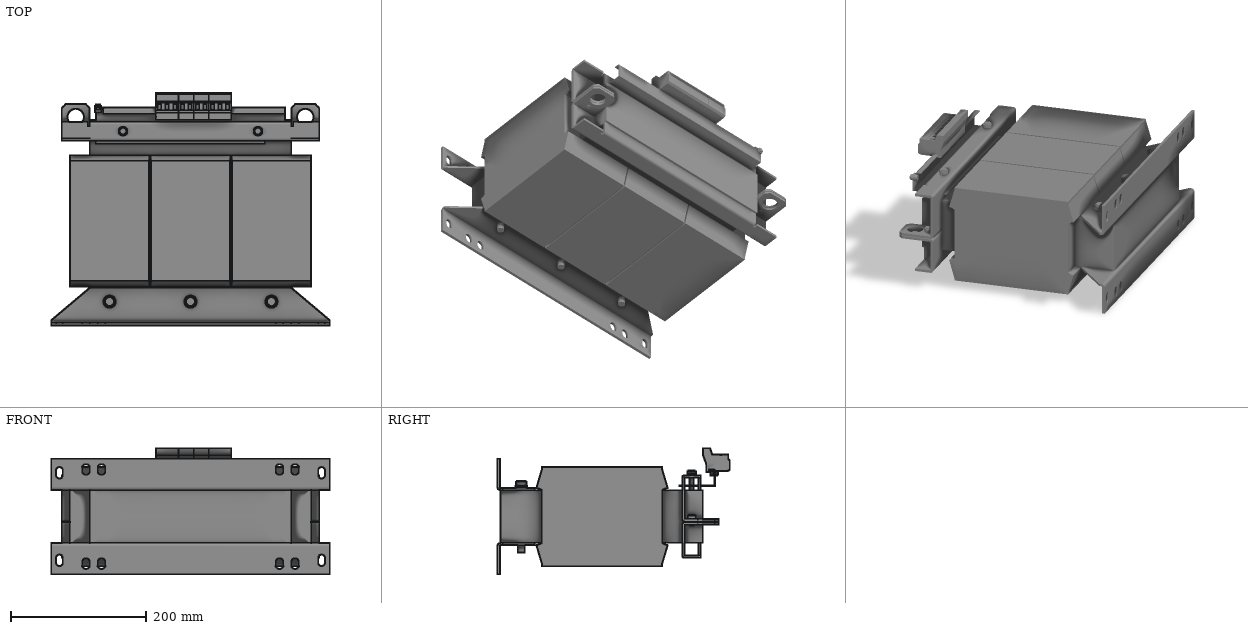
import cadquery as cq


CORE_WIDTH = 298.0
CORE_BOTTOM = 4.8
CORE_TOP = 304.4
CORE_DEPTH = 78.0
YOKE = 60.0
LEG = 59.0
LEG_PITCH = 119.7
CORE_FACE = CORE_DEPTH / 2

COIL_WIDTH = 117.2
COIL_BOTTOM = 66.2
COIL_TOP = 244.0
COIL_DEPTH = 147.0
FLARE = 8.3
FLARE_TIP_Z = 42.2
FLARE_KINK = 4.6
FLARE_KINK_Z = 41.2
COIL_RIM = 3.2

BRACKET_LENGTH = 412.0
BRACKET_HALF_SPAN = 85.5
BRACKET_PLATE = 3.4
BRACKET_FLANGE = 4.3
BRACKET_BEND = 5.0
BRACKET_PLATE_REACH = 56.0
BRACKET_TAPER_START = 8.0
END_SLOT_X = 193.8
END_SLOT_Z = 64.7
END_SLOT = (16.6, 9.8)
INNER_SLOT_X = (131.6, 154.6)
INNER_SLOT_Z = 69.5
INNER_SLOT = (15.6, 11.4)

FRAME_LENGTH = 381.0
FRAME_SHEET = 3.8
FRAME_BEND = 4.0
FRAME_WEB_Y = 273.4
FRAME_BACK_Y = 301.2
FRAME_HALF_HEIGHT = 61.2
FRAME_SPLIT_Z = -7.8
FRAME_GAP = 0.8
LIP_BEND = 4.0
RELIEF_WIDTH = 3.2
RELIEF_DEPTH = 6.0
EAR_WIDTH = 41.5
EAR_TIP_Y = 327.8
EAR_CHAMFER = 6.0
EAR_HOLE_DIAMETER = 24.0
EAR_HOLE_Y = 308.5

RAIL_SHEET = 1.5
RAIL_HALF_LENGTH = 140.0
RAIL_FOOT_Z = 44.6
RAIL_TOP_Z = 70.0
RAIL_FACE_Y = 322.8
RAIL_FOOT_END_Y = 269.3
RAIL_TAB_END_X = 109.5
RAIL_FLANGE_START_X = -129.0
RAIL_FLANGE_WIDTH = 9.8
RAIL_BEND = 4.0

POLE_PITCH = 11.18
POLES_PER_MODULE = (3, 2, 2, 3)
TERMINAL_START_X = -51.2
TERMINAL_BACK_Y = 344.15
TERMINAL_FRONT_Y = 304.4
TERMINAL_BASE_Z = 67.0
TERMINAL_FOOT_Z = 65.6
TERMINAL_FOOT_FRONT_Y = 309.0
TERMINAL_FOOT_BACK_Y = 314.0
BACK_CHAMFER_Z = 69.0
BACK_STEP_Z = 83.0
BACK_STEP_RISE = 2.0
FRONT_SLOPE_TOP_Z = 90.5
FRONT_SLOPE_END_Z = 77.6
FOOT_SLOPE = 2.0
BACK_CHAMFER = 3.6
DECK_BACK_Y = 342.0
DECK_FRONT_Y = 318.2
RIDGE_BACK_Y = 315.0
OVERALL_HEIGHT = 186.55
TERMINAL_TOP_Z = OVERALL_HEIGHT - BRACKET_HALF_SPAN
DECK_Z = 91.9
WINDOW_WIDTH = 5.2
WINDOW_Y = (319.0, 327.4)
WINDOW_DEPTH = 3.0
DECK_GROOVE_Y = (329.9, 332.0)
DECK_GROOVE_DEPTH = 0.6
SEAM = 0.4

BASE_BOLT_Y = 35.6
BASE_BOLT_SHANK = 10.5
BASE_BOLT_END_Z = -53.5
BASE_BOLT_HEAD = ((15.8, 2.2), (18.2, 1.0), (15.8, 6.0), (13.2, 1.5))
FRAME_BOLT_Y = 287.6
FRAME_BOLT_X = 99.8
FRAME_BOLT_SHANK = 6.5
FRAME_BOLT_HEAD = ((13.0, 1.4), (12.6, 1.4), (13.2, 3.2), (9.8, 1.6))
EAR_BOLT_SHANK = 6.0
EAR_BOLT_END_Z = -13.5
EAR_BOLT_HEAD = ((12.2, 4.6), (9.0, 1.6))
EARTH_SCREW_X = -136.7
EARTH_SCREW_Y = 315.5
EARTH_SCREW_Z = 65.2
EARTH_SCREW = ((9.2, 3.8), (10.2, 3.5), (9.2, 2.7), (6.5, 1.6))


def box(x0, x1, y0, y1, z0, z1):
    """Axis-aligned block between two corners."""
    return cq.Workplane("XY").box(x1 - x0, y1 - y0, z1 - z0, centered=False).translate((x0, y0, z0))


def extrude_along_x(outline, x0, x1):
    """Solid with the given closed (y, z) outline between two X positions."""
    return cq.Workplane("YZ").workplane(offset=x0).polyline(outline).close().extrude(x1 - x0)


def post(x, y, z0, z1, diameter):
    """Cylinder parallel to Z."""
    return cq.Workplane("XY").workplane(offset=z0).center(x, y).circle(diameter / 2).extrude(z1 - z0)


def edge_near(solid, *point):
    """Edge of the solid whose middle is closest to the given point."""
    return solid.edges(cq.selectors.NearestToPointSelector(point))


def make_core():
    half = CORE_WIDTH / 2
    core = box(-half, half, CORE_BOTTOM, CORE_BOTTOM + YOKE, -CORE_FACE, CORE_FACE)
    core = core.union(box(-half, half, CORE_TOP - YOKE, CORE_TOP, -CORE_FACE, CORE_FACE))
    for i in (-1, 0, 1):
        x = i * LEG_PITCH
        core = core.union(box(x - LEG / 2, x + LEG / 2, CORE_BOTTOM, CORE_TOP, -CORE_FACE, CORE_FACE))
    return core


def make_coil(x):
    """Winding that spreads over both yokes above and below the core."""
    upper = [
        (COIL_TOP, CORE_FACE),
        (COIL_TOP + FLARE_KINK, FLARE_KINK_Z),
        (COIL_TOP + FLARE, FLARE_TIP_Z),
        (COIL_TOP, COIL_DEPTH / 2 - COIL_RIM),
        (COIL_TOP, COIL_DEPTH / 2),
        (COIL_BOTTOM, COIL_DEPTH / 2),
        (COIL_BOTTOM, COIL_DEPTH / 2 - COIL_RIM),
        (COIL_BOTTOM - FLARE, FLARE_TIP_Z),
        (COIL_BOTTOM - FLARE_KINK, FLARE_KINK_Z),
        (COIL_BOTTOM, CORE_FACE),
    ]
    lower = [(y, -z) for y, z in reversed(upper)]
    return extrude_along_x(upper + lower, x - COIL_WIDTH / 2, x + COIL_WIDTH / 2)


def make_bracket():
    """Upper mounting angle: tapered plate on the core and an upright slotted flange."""
    half = BRACKET_LENGTH / 2
    inner_bend = BRACKET_BEND - BRACKET_FLANGE
    angle = extrude_along_x(
        [
            (0, CORE_FACE),
            (BRACKET_PLATE_REACH, CORE_FACE),
            (BRACKET_PLATE_REACH, CORE_FACE + BRACKET_PLATE),
            (BRACKET_FLANGE, CORE_FACE + BRACKET_PLATE),
            (BRACKET_FLANGE, BRACKET_HALF_SPAN),
            (0, BRACKET_HALF_SPAN),
        ],
        -half,
        half,
    )
    angle = edge_near(angle, 0, 0, CORE_FACE).fillet(BRACKET_BEND)
    angle = edge_near(angle, 0, BRACKET_FLANGE, CORE_FACE + BRACKET_PLATE).fillet(inner_bend)

    plan = (
        cq.Workplane("XY")
        .polyline(
            [
                (-half, 0),
                (half, 0),
                (half, BRACKET_TAPER_START),
                (CORE_WIDTH / 2, BRACKET_PLATE_REACH),
                (-CORE_WIDTH / 2, BRACKET_PLATE_REACH),
                (-half, BRACKET_TAPER_START),
            ]
        )
        .close()
        .extrude(BRACKET_HALF_SPAN)
    )
    slots = cq.Workplane("XZ")
    slots = slots.pushPoints([(s * END_SLOT_X, END_SLOT_Z) for s in (-1, 1)]).slot2D(*END_SLOT, 90)
    slots = slots.pushPoints([(s * x, INNER_SLOT_Z) for s in (-1, 1) for x in INNER_SLOT_X])
    slots = slots.slot2D(*INNER_SLOT, 90).extrude(-2 * BRACKET_FLANGE)
    return angle.intersect(plan).cut(slots)


def make_channel(outer_z, split_z):
    """Half of the clamping frame: web, outer flange with a lip onto the core, and two ears.

    outer_z is the outer face of the flange and split_z the ear face that looks at the other half.
    """
    side = 1 if outer_z > split_z else -1
    half = FRAME_LENGTH / 2
    flange_inner = outer_z - side * FRAME_SHEET
    ear_inner = split_z + side * FRAME_SHEET
    web_back = FRAME_WEB_Y + FRAME_SHEET
    channel = extrude_along_x(
        [
            (FRAME_WEB_Y, split_z),
            (FRAME_BACK_Y, split_z),
            (FRAME_BACK_Y, ear_inner),
            (web_back, ear_inner),
            (web_back, flange_inner),
            (FRAME_BACK_Y, flange_inner),
            (FRAME_BACK_Y, outer_z),
            (FRAME_WEB_Y, outer_z),
        ],
        -half,
        half,
    )
    for z in (outer_z, split_z):
        channel = edge_near(channel, 0, FRAME_WEB_Y, z).fillet(FRAME_BEND)

    lip_half = CORE_WIDTH / 2
    lip = extrude_along_x(
        [
            (FRAME_BACK_Y - FRAME_SHEET, side * CORE_FACE),
            (FRAME_BACK_Y, side * CORE_FACE),
            (FRAME_BACK_Y, outer_z),
            (FRAME_BACK_Y - FRAME_SHEET, outer_z),
        ],
        -lip_half,
        lip_half,
    )
    channel = channel.union(lip)
    channel = edge_near(channel, 0, FRAME_BACK_Y, outer_z).fillet(LIP_BEND)

    for end in (-1, 1):
        x0, x1 = sorted((end * lip_half, end * half))
        z0, z1 = sorted((flange_inner, outer_z))
        channel = channel.union(box(x0, x1, web_back, FRAME_BACK_Y, z0, z1))
        relief_x = end * (lip_half + RELIEF_WIDTH / 2)
        relief = cq.Workplane("XY").box(RELIEF_WIDTH, 2 * RELIEF_DEPTH, FRAME_SHEET)
        channel = channel.cut(relief.translate((relief_x, FRAME_BACK_Y, outer_z - side * FRAME_SHEET / 2)))
        channel = channel.union(make_ear(end, split_z, ear_inner))

        hole_x = end * (half - EAR_WIDTH / 2)
        z_low = min(split_z, ear_inner)
        hole = post(hole_x, EAR_HOLE_Y, z_low, z_low + FRAME_SHEET, EAR_HOLE_DIAMETER)
        channel = channel.cut(hole)
    return channel


def make_ear(end, z0, z1):
    """Lifting tab with clipped corners at one end (-1 or 1) of the frame."""
    outer = end * FRAME_LENGTH / 2
    inner = outer - end * EAR_WIDTH
    ear = box(
        min(outer, inner),
        max(outer, inner),
        FRAME_WEB_Y + FRAME_BEND,
        EAR_TIP_Y,
        min(z0, z1),
        max(z0, z1),
    )
    return ear.edges("|Z and >Y").chamfer(EAR_CHAMFER)


def make_rail():
    """Angled carrier sheet for the terminals with a narrow flange along its upper edge."""
    foot_top = RAIL_FOOT_Z + RAIL_SHEET
    face_inner = RAIL_FACE_Y - RAIL_SHEET
    start, end = -RAIL_HALF_LENGTH, RAIL_HALF_LENGTH
    web_back = FRAME_WEB_Y + FRAME_SHEET
    rail = box(start, end, web_back, RAIL_FACE_Y, RAIL_FOOT_Z, foot_top)
    rail = rail.union(box(start, RAIL_TAB_END_X, RAIL_FOOT_END_Y, web_back, RAIL_FOOT_Z, foot_top))
    rail = rail.union(box(start, end, face_inner, RAIL_FACE_Y, RAIL_FOOT_Z, RAIL_TOP_Z))
    flange_y = RAIL_FACE_Y - RAIL_FLANGE_WIDTH
    flange = extrude_along_x(
        [
            (flange_y, RAIL_TOP_Z - RAIL_SHEET),
            (face_inner, RAIL_TOP_Z - RAIL_SHEET),
            (face_inner, RAIL_FOOT_Z),
            (RAIL_FACE_Y, RAIL_FOOT_Z),
            (RAIL_FACE_Y, RAIL_TOP_Z),
            (flange_y, RAIL_TOP_Z),
        ],
        RAIL_FLANGE_START_X,
        end,
    )
    flange = edge_near(flange, 0, RAIL_FACE_Y, RAIL_TOP_Z).fillet(RAIL_BEND)
    flange = edge_near(flange, 0, face_inner, RAIL_TOP_Z - RAIL_SHEET).fillet(RAIL_BEND - RAIL_SHEET)
    cleared = box(RAIL_FLANGE_START_X, end, flange_y, RAIL_FACE_Y, foot_top, RAIL_TOP_Z)
    return rail.cut(cleared).union(flange)


def make_terminals():
    """Row of terminal modules with one wire window per pole."""
    poles = sum(POLES_PER_MODULE)
    end_x = TERMINAL_START_X + poles * POLE_PITCH
    outline = [
        (TERMINAL_BACK_Y, BACK_CHAMFER_Z),
        (TERMINAL_BACK_Y, BACK_STEP_Z),
        (DECK_BACK_Y, BACK_STEP_Z + BACK_STEP_RISE),
        (DECK_BACK_Y, DECK_Z),
        (DECK_FRONT_Y, DECK_Z),
        (RIDGE_BACK_Y, TERMINAL_TOP_Z),
        (TERMINAL_FRONT_Y, TERMINAL_TOP_Z),
        (TERMINAL_FRONT_Y, FRONT_SLOPE_TOP_Z),
        (TERMINAL_FOOT_FRONT_Y, FRONT_SLOPE_END_Z),
        (TERMINAL_FOOT_FRONT_Y, TERMINAL_FOOT_Z),
        (TERMINAL_FOOT_BACK_Y, TERMINAL_FOOT_Z),
        (TERMINAL_FOOT_BACK_Y + FOOT_SLOPE, TERMINAL_BASE_Z),
        (TERMINAL_BACK_Y - BACK_CHAMFER, TERMINAL_BASE_Z),
    ]
    block = extrude_along_x(outline, TERMINAL_START_X, end_x)
    groove_floor = DECK_Z - DECK_GROOVE_DEPTH
    block = block.cut(box(TERMINAL_START_X, end_x, *DECK_GROOVE_Y, groove_floor, DECK_Z))
    for pole in range(poles):
        x = TERMINAL_START_X + (pole + 0.5) * POLE_PITCH
        window = box(x - WINDOW_WIDTH / 2, x + WINDOW_WIDTH / 2, *WINDOW_Y, DECK_Z - WINDOW_DEPTH, DECK_Z)
        block = block.cut(window)

    inside = cq.Workplane("YZ").workplane(offset=TERMINAL_START_X).polyline(outline).close()
    inside = inside.offset2D(-SEAM).extrude(end_x - TERMINAL_START_X)
    seam_x = TERMINAL_START_X
    for count in POLES_PER_MODULE[:-1]:
        seam_x += count * POLE_PITCH
        seam = extrude_along_x(outline, seam_x - SEAM / 2, seam_x + SEAM / 2)
        block = block.cut(seam.cut(inside))
    return block


def stack(x, y, z, sections):
    """Coaxial cylinders piled up from z, each given as (diameter, height)."""
    pile = None
    for diameter, height in sections:
        step = post(x, y, z, z + height, diameter)
        pile = step if pile is None else pile.union(step)
        z += height
    return pile


def make_base_bolt(x):
    """Through bolt with spacer, washer and head, clamping both brackets to the core."""
    seat = CORE_FACE + BRACKET_PLATE
    shank = post(x, BASE_BOLT_Y, BASE_BOLT_END_Z, seat, BASE_BOLT_SHANK)
    return shank.union(stack(x, BASE_BOLT_Y, seat, BASE_BOLT_HEAD))


def make_frame_bolt(x):
    """Bolt through the upper frame flange, reaching down to the core."""
    shank = post(x, FRAME_BOLT_Y, CORE_FACE, FRAME_HALF_HEIGHT, FRAME_BOLT_SHANK)
    return shank.union(stack(x, FRAME_BOLT_Y, FRAME_HALF_HEIGHT, FRAME_BOLT_HEAD))


def make_ear_bolt(x):
    """Bolt that holds the two lifting ears of one end together."""
    seat = FRAME_SPLIT_Z + FRAME_GAP / 2 + FRAME_SHEET
    shank = post(x, FRAME_BOLT_Y, EAR_BOLT_END_Z, seat, EAR_BOLT_SHANK)
    return shank.union(stack(x, FRAME_BOLT_Y, seat, EAR_BOLT_HEAD))


def make_earth_screw():
    """Screw along Y through the rail face: nut in front of the sheet, head and tip behind it."""
    pile = stack(0, 0, 0, EARTH_SCREW)
    return pile.rotate((0, 0, 0), (1, 0, 0), -90).translate((EARTH_SCREW_X, EARTH_SCREW_Y, EARTH_SCREW_Z))


def make_transformer():
    parts = [make_coil(i * LEG_PITCH) for i in (-1, 0, 1)]
    bracket = make_bracket()
    parts += [bracket, bracket.mirror("XY")]
    parts.append(make_channel(FRAME_HALF_HEIGHT, FRAME_SPLIT_Z + FRAME_GAP / 2))
    parts.append(make_channel(-FRAME_HALF_HEIGHT, FRAME_SPLIT_Z - FRAME_GAP / 2))
    parts += [make_rail(), make_terminals(), make_earth_screw()]
    parts += [make_base_bolt(i * LEG_PITCH) for i in (-1, 0, 1)]
    for end in (-1, 1):
        parts.append(make_frame_bolt(end * FRAME_BOLT_X))
        parts.append(make_ear_bolt(end * (FRAME_LENGTH - EAR_WIDTH) / 2))
    transformer = make_core()
    for part in parts:
        transformer = transformer.union(part)
    return transformer


result = make_transformer()